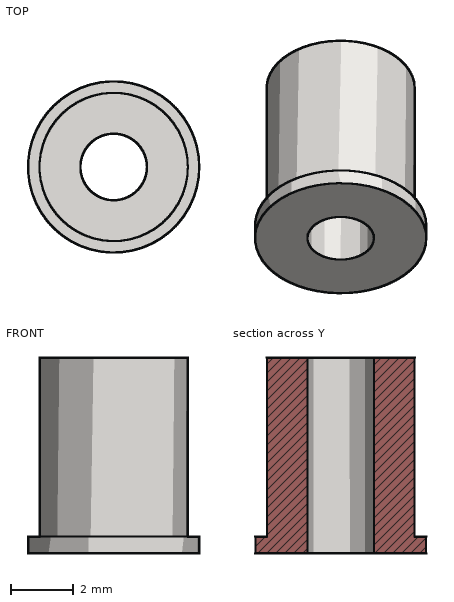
import cadquery as cq

total_height = 6.27
flange_diameter = 5.49
flange_thickness = 0.53
body_diameter = 4.75
bore_diameter = 2.125

flange = cq.Workplane("XY").circle(flange_diameter / 2).extrude(flange_thickness)

body = cq.Workplane("XY").circle(body_diameter / 2).extrude(total_height)

bore = cq.Workplane("XY").circle(bore_diameter / 2).extrude(total_height)

result = flange.union(body).cut(bore)